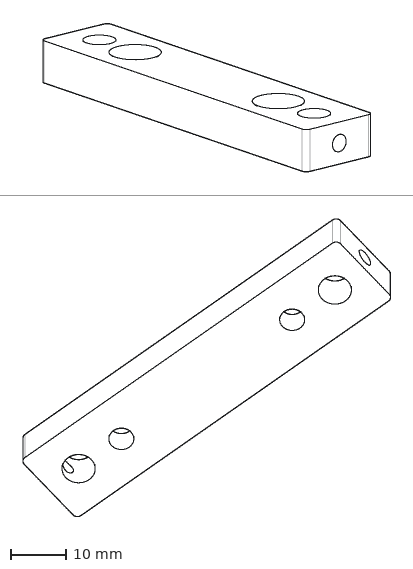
import cadquery as cq

length = 74.0
width = 16.0
height = 8.0
corner_radius = 1.0

end_hole_diameter = 6.0
end_hole_offset = 30.0

screw_hole_diameter = 4.5
countersink_diameter = 9.5
countersink_angle = 90.0
screw_hole_offset = 20.0

clamp_hole_diameter = 3.25
clamp_hole_depth = length / 2 - end_hole_offset


def make_bar():
    """Rectangular bar with rounded vertical corners."""
    return cq.Workplane("XY").box(length, width, height).edges("|Z").fillet(corner_radius)


def cut_end_holes(body):
    """Plain through holes, one near each end."""
    places = [(-end_hole_offset, 0), (end_hole_offset, 0)]
    return body.faces(">Z").workplane(origin=(0, 0, 0)).pushPoints(places).hole(end_hole_diameter)


def cut_screw_holes(body):
    """Through holes countersunk from the top face."""
    places = [(-screw_hole_offset, 0), (screw_hole_offset, 0)]
    top = body.faces(">Z").workplane(origin=(0, 0, 0)).pushPoints(places)
    return top.cskHole(screw_hole_diameter, countersink_diameter, countersink_angle)


def cut_clamp_holes(body):
    """Holes at mid height from both end faces, stopping on the plain hole axes."""
    for side in (-1, 1):
        drill = cq.Solid.makeCylinder(
            clamp_hole_diameter / 2,
            clamp_hole_depth,
            cq.Vector(side * length / 2, 0, 0),
            cq.Vector(-side, 0, 0),
        )
        body = body.cut(cq.Workplane(obj=drill))
    return body


result = cut_clamp_holes(cut_screw_holes(cut_end_holes(make_bar())))